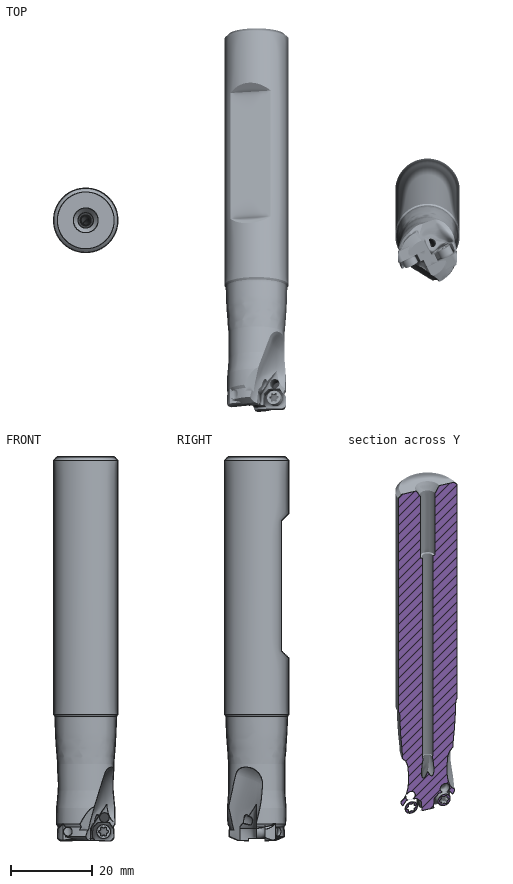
import cadquery as cq
import math

length = 94.65
cut_reach = 40.0
flutes = 2

shank_radius = 15.88 / 2
shank_bottom = 31.2
shank_chamfer = 0.95
neck_top = 30.7
neck_top_radius = 7.6
neck_waist_top = 18.9
neck_waist_bottom = 12.4
neck_waist_radius = 6.9
neck_bulge = 0.12
head_top = 8.1
head_radius = 7.22
nose_shoulder = 4.2
nose_top = 3.5
nose_radius = 6.8
nose_corner_height = 1.1
nose_face_radius = 4.6
nose_bottom = 0.15

flat_distance = 6.1
flat_top = 78.8
flat_bottom = 46.8

countersink_radius = 3.05
countersink_depth = 2.0
entry_radius = 1.9
entry_depth = 20.0
bore_radius = 1.35
bore_bottom = 16.0
outlet_radius = 1.1
outlet_point = cq.Vector(2.0, -1.9, 6.2)
outlet_overrun = 2.0

flute_lean_out = 17.0
flute_lean_side = 17.5
flute_start = cq.Vector(0.15, -1.5, 0)
flute_height = 19.8
flute_corner_radius = 6.0
flute_end_radius = 4.5

gash_top_x = 6.5
gash_top_z = 11.0
gash_foot_z = 3.1
gash_slope = 0.68
gash_width = 4.0

edge_relief_point = cq.Vector(-1.3, -7.1, 4.4)
edge_relief_slope = 0.72
edge_relief_skew = 2.2
edge_relief_bottom = 2.7

end_slot_height = 0.65

platform_y = -0.1
rake_y = 2.0
insert_thickness = 2.6
insert_relief = 7.0
insert_left = 1.6
insert_left_foot = 1.0
insert_left_shoulder = (1.8, 3.4)
insert_right = 7.0
insert_top = 4.6
insert_top_left = 3.0
insert_top_right = 5.8
insert_right_shoulder = (6.9, 3.0)
cutting_edge_inner = (2.3, 0.15)
cutting_edge_outer = (5.5, 0)
corner_arc_middle = (6.6, 0.3)
corner_arc_top = 0.95
cutting_radius = math.hypot(insert_right, rake_y)
seat_y = rake_y + insert_thickness
screw_x = 4.4
screw_z = 2.35
screw_head_radius = 1.7
screw_thread_radius = 1.07
screw_end_y = 5.0
torx_radius = 0.9
torx_lobe_radius = 0.3
torx_depth = 1.2
torx_lobes = 6
corner_relief_x = 4.6
corner_relief_radius = 1.2
corner_relief_y = 3.5
corner_relief_z = insert_top + corner_relief_radius


def at_each_flute(shape):
    """Copies of a shape turned about the tool axis, one for each flute."""
    return [shape.rotate((0, 0, 0), (0, 0, 1), 360 / flutes * i) for i in range(flutes)]


def y_cylinder(radius, x, z, y_from, y_to):
    """A cylinder parallel to Y."""
    return cq.Workplane("XZ", origin=(x, y_from, z)).circle(radius).extrude(y_from - y_to)


def turned_blank():
    neck_middle = (
        (neck_waist_radius + neck_top_radius) / 2 + neck_bulge,
        (neck_waist_top + neck_top) / 2,
    )
    return (
        cq.Workplane("XZ")
        .moveTo(0, nose_bottom)
        .lineTo(nose_face_radius, nose_bottom)
        .lineTo(nose_radius, nose_corner_height)
        .lineTo(nose_radius, nose_top)
        .lineTo(head_radius, nose_shoulder)
        .lineTo(head_radius, head_top)
        .lineTo(neck_waist_radius, neck_waist_bottom)
        .lineTo(neck_waist_radius, neck_waist_top)
        .threePointArc(neck_middle, (neck_top_radius, neck_top))
        .lineTo(shank_radius, shank_bottom)
        .lineTo(shank_radius, length - shank_chamfer)
        .lineTo(shank_radius - shank_chamfer, length)
        .lineTo(0, length)
        .close()
        .revolve(360, (0, 0, 0), (0, 1, 0))
    )


def clamping_flat():
    rise = shank_radius
    return (
        cq.Workplane("YZ")
        .moveTo(flat_distance, flat_bottom)
        .lineTo(flat_distance, flat_top)
        .lineTo(flat_distance + rise, flat_top + rise)
        .lineTo(flat_distance + rise, flat_bottom - rise)
        .close()
        .extrude(shank_radius, both=True)
    )


def coolant_bore():
    step_z = length - entry_depth
    return (
        cq.Workplane("XZ")
        .moveTo(0, bore_bottom)
        .lineTo(bore_radius, bore_bottom)
        .lineTo(bore_radius, step_z)
        .lineTo(entry_radius, step_z)
        .lineTo(entry_radius, length - countersink_depth)
        .lineTo(countersink_radius, length)
        .lineTo(0, length)
        .close()
        .revolve(360, (0, 0, 0), (0, 1, 0))
    )


def coolant_outlet():
    start = cq.Vector(0, 0, bore_bottom)
    run = outlet_point - start
    channel = cq.Solid.makeCylinder(outlet_radius, run.Length + outlet_overrun, start, run)
    return cq.Workplane(channel)


def flute():
    trough = (
        cq.Workplane("XY")
        .box(cut_reach, cut_reach, cut_reach, centered=False)
        .translate((0, -cut_reach, flute_height - cut_reach))
        .edges("|Z and <X and >Y")
        .fillet(flute_corner_radius)
        .faces(">Z")
        .edges("<X")
        .fillet(flute_end_radius)
    )
    return (
        trough.rotate((0, 0, 0), (0, 1, 0), flute_lean_out)
        .rotate((0, 0, 0), (1, 0, 0), -flute_lean_side)
        .translate(flute_start)
    )


def gash():
    foot_x = gash_top_x - gash_slope * (gash_top_z - gash_foot_z)
    return (
        cq.Workplane("XZ", origin=(0, platform_y, 0))
        .moveTo(gash_top_x, gash_top_z)
        .lineTo(foot_x, gash_foot_z)
        .lineTo(foot_x, 0)
        .lineTo(cut_reach, 0)
        .lineTo(cut_reach, gash_top_z)
        .close()
        .extrude(gash_width)
    )


def edge_relief():
    """Half-space block outside the facet x = x0 + slope * (z - z0) + skew * (y - y0)."""
    outward = cq.Vector(1, -edge_relief_skew, -edge_relief_slope)
    facet = cq.Plane(edge_relief_point, normal=outward)
    block = cq.Workplane(facet).rect(cut_reach, cut_reach).extrude(cut_reach)
    above = (
        cq.Workplane("XY", origin=(0, 0, edge_relief_bottom))
        .rect(2 * cut_reach, 2 * cut_reach)
        .extrude(cut_reach)
    )
    return block.intersect(above)


def end_slot():
    return cq.Workplane("XY").box(cut_reach, 2 * rake_y, 2 * end_slot_height)


def insert_outline(y):
    """Rake-face outline: a nearly flat cutting edge below and a round outer corner."""
    return (
        cq.Workplane("XZ", origin=(0, y, 0))
        .moveTo(*cutting_edge_inner)
        .lineTo(*cutting_edge_outer)
        .threePointArc(corner_arc_middle, (insert_right, corner_arc_top))
        .lineTo(*insert_right_shoulder)
        .lineTo(insert_top_right, insert_top)
        .lineTo(insert_top_left, insert_top)
        .lineTo(*insert_left_shoulder)
        .lineTo(insert_left, insert_left_foot)
        .close()
    )


def insert_blank():
    plate = insert_outline(rake_y).extrude(-insert_thickness, taper=insert_relief)
    return plate.intersect(cq.Workplane("XY").circle(cutting_radius).extrude(length))


def insert_pocket():
    clearance = insert_outline(rake_y).extrude(cut_reach)
    relief = y_cylinder(
        corner_relief_radius, corner_relief_x, corner_relief_z, -shank_radius, corner_relief_y
    )
    screw_hole = y_cylinder(screw_thread_radius, screw_x, screw_z, seat_y, shank_radius)
    return insert_blank().union(clearance).union(relief).union(screw_hole)


def torx_socket():
    floor_y = platform_y + torx_depth
    socket = y_cylinder(torx_radius, screw_x, screw_z, platform_y, floor_y)
    for i in range(torx_lobes):
        angle = 2 * math.pi * i / torx_lobes
        lobe_x = screw_x + torx_radius * math.cos(angle)
        lobe_z = screw_z + torx_radius * math.sin(angle)
        socket = socket.union(y_cylinder(torx_lobe_radius, lobe_x, lobe_z, platform_y, floor_y))
    return socket


def clamped_insert():
    head = y_cylinder(screw_head_radius, screw_x, screw_z, platform_y, rake_y)
    thread = y_cylinder(screw_thread_radius, screw_x, screw_z, seat_y, screw_end_y)
    return insert_blank().union(head).union(thread).cut(torx_socket())


cutter_body = turned_blank().cut(clamping_flat()).cut(coolant_bore()).cut(end_slot())
for cutter in [flute(), gash(), edge_relief(), insert_pocket(), coolant_outlet()]:
    for copy in at_each_flute(cutter):
        cutter_body = cutter_body.cut(copy)

inserts = at_each_flute(clamped_insert())

result = cq.Compound.makeCompound([cutter_body.val(), *[insert.val() for insert in inserts]])